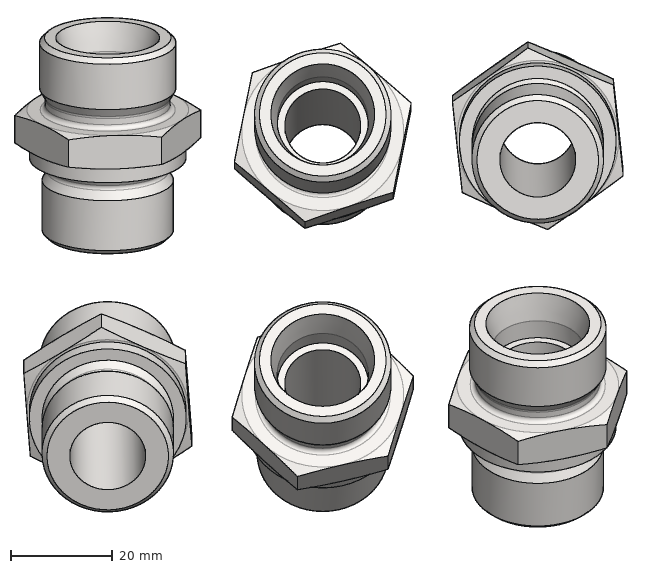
import cadquery as cq
import math

total_height = 41.0
flange_bottom_z = 16.0
flange_height = 3.0
hex_bottom_z = flange_bottom_z + flange_height
hex_height = 7.0
hex_top_z = hex_bottom_z + hex_height

hex_across_flats = 32.0
hex_across_corners = hex_across_flats / math.cos(math.radians(30))
hex_chamfer_angle = math.radians(15)

flange_diameter = 31.0
upper_thread_diameter = 27.0
upper_groove_diameter = 24.7
lower_thread_diameter = 26.0
lower_groove_diameter = 23.65
end_chamfer = 1.0

groove_flank_angle = math.radians(30)
groove_radius = 1.0
upper_groove_width = 4.55
lower_groove_width = 4.6

bore_diameter = 15.0
socket_diameter = 18.0
socket_depth = 10.0
cone_mouth_diameter = 20.5
cone_half_angle = math.radians(12)


def flank_corner_drop(outer_radius, inner_radius):
    """Axial length of a groove flank between two radii, before rounding."""
    return (outer_radius - inner_radius) / math.tan(groove_flank_angle)


def make_upper_spigot():
    """Upper threaded end with an undercut above the hexagon."""
    outer = upper_thread_diameter / 2
    inner = upper_groove_diameter / 2
    groove_top_z = hex_top_z + upper_groove_width

    corner_z = groove_top_z - flank_corner_drop(outer, inner)
    arc_start_z = corner_z - groove_radius * math.tan(groove_flank_angle / 2)

    def arc_point(angle):
        r = inner + groove_radius * (1 - math.cos(angle))
        return (r, arc_start_z + groove_radius * math.sin(angle))

    root_offset = groove_radius * (1 - math.sin(math.radians(45)))
    root_middle = (inner + root_offset, hex_top_z + root_offset)

    return (
        cq.Workplane("XZ")
        .moveTo(0, hex_top_z)
        .lineTo(inner + groove_radius, hex_top_z)
        .threePointArc(root_middle, (inner, hex_top_z + groove_radius))
        .lineTo(inner, arc_start_z)
        .threePointArc(arc_point(groove_flank_angle / 2), arc_point(groove_flank_angle))
        .lineTo(outer, groove_top_z)
        .lineTo(outer, total_height - end_chamfer)
        .lineTo(outer - end_chamfer, total_height)
        .lineTo(0, total_height)
        .close()
        .revolve(360, (0, 0, 0), (0, 1, 0))
    )


def make_lower_spigot():
    """Lower threaded end with a symmetric V undercut, rounded at its root."""
    outer = lower_thread_diameter / 2
    inner = lower_groove_diameter / 2
    groove_bottom_z = flange_bottom_z - lower_groove_width
    groove_middle_z = flange_bottom_z - lower_groove_width / 2

    tangent_radius = inner + groove_radius * (1 - math.cos(groove_flank_angle))
    half_arc_height = groove_radius * math.sin(groove_flank_angle)

    return (
        cq.Workplane("XZ")
        .moveTo(0, 0)
        .lineTo(outer - end_chamfer, 0)
        .lineTo(outer, end_chamfer)
        .lineTo(outer, groove_bottom_z)
        .lineTo(tangent_radius, groove_middle_z - half_arc_height)
        .threePointArc((inner, groove_middle_z), (tangent_radius, groove_middle_z + half_arc_height))
        .lineTo(outer, flange_bottom_z)
        .lineTo(0, flange_bottom_z)
        .close()
        .revolve(360, (0, 0, 0), (0, 1, 0))
    )


def make_flange():
    """Round sealing collar below the hexagon."""
    return (
        cq.Workplane("XY")
        .workplane(offset=flange_bottom_z)
        .circle(flange_diameter / 2)
        .extrude(flange_height)
    )


def make_hexagon():
    """Hexagon with flats facing +X and -X and conically chamfered corners."""
    prism = (
        cq.Workplane("XY")
        .workplane(offset=hex_bottom_z)
        .polygon(6, hex_across_corners)
        .extrude(hex_height)
        .rotate((0, 0, 0), (0, 0, 1), 30)
    )
    face_radius = hex_across_flats / 2
    corner_radius = hex_across_corners / 2
    chamfer_height = (corner_radius - face_radius) * math.tan(hex_chamfer_angle)
    envelope = (
        cq.Workplane("XZ")
        .moveTo(0, hex_bottom_z)
        .lineTo(face_radius, hex_bottom_z)
        .lineTo(corner_radius, hex_bottom_z + chamfer_height)
        .lineTo(corner_radius, hex_top_z - chamfer_height)
        .lineTo(face_radius, hex_top_z)
        .lineTo(0, hex_top_z)
        .close()
        .revolve(360, (0, 0, 0), (0, 1, 0))
    )
    return prism.intersect(envelope)


def make_bore():
    """Through bore, opening at the top into a tube socket with a conical mouth."""
    bore = bore_diameter / 2
    socket = socket_diameter / 2
    mouth = cone_mouth_diameter / 2
    cone_depth = (mouth - socket) / math.tan(cone_half_angle)
    return (
        cq.Workplane("XZ")
        .moveTo(0, 0)
        .lineTo(bore, 0)
        .lineTo(bore, total_height - socket_depth)
        .lineTo(socket, total_height - socket_depth)
        .lineTo(socket, total_height - cone_depth)
        .lineTo(mouth, total_height)
        .lineTo(0, total_height)
        .close()
        .revolve(360, (0, 0, 0), (0, 1, 0))
    )


body = make_lower_spigot().union(make_flange()).union(make_hexagon()).union(make_upper_spigot())
result = body.cut(make_bore())